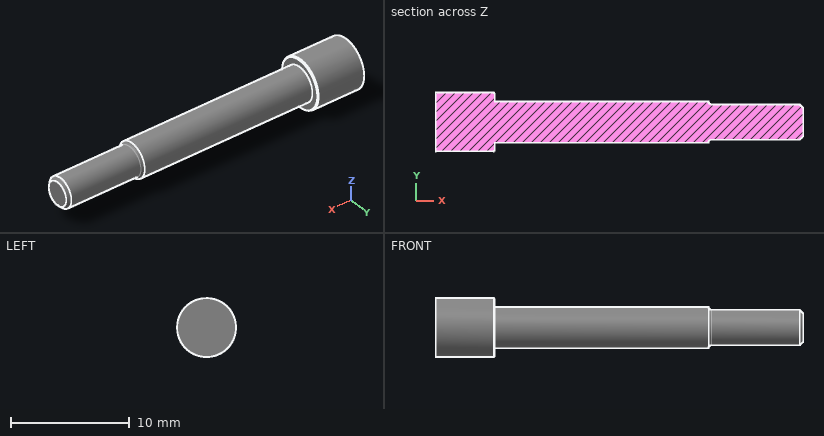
import cadquery as cq

total_length = 31.0
head_length = 5.0
shoulder_position = 23.0

head_diameter = 5.0
shank_diameter = 3.5
tip_diameter = 3.0

head_radius = head_diameter / 2
shank_radius = shank_diameter / 2
tip_radius = tip_diameter / 2

head_chamfer = 0.1
tip_chamfer = 0.3
root_fillet = shank_radius - tip_radius

half_profile = (
    cq.Workplane("XY")
    .moveTo(0, 0)
    .lineTo(0, head_radius)
    .lineTo(head_length - head_chamfer, head_radius)
    .lineTo(head_length, head_radius - head_chamfer)
    .lineTo(head_length, shank_radius)
    .lineTo(shoulder_position, shank_radius)
    .radiusArc((shoulder_position + root_fillet, tip_radius), -root_fillet)
    .lineTo(total_length - tip_chamfer, tip_radius)
    .lineTo(total_length, tip_radius - tip_chamfer)
    .lineTo(total_length, 0)
    .close()
)

result = half_profile.revolve(360, (0, 0, 0), (1, 0, 0))